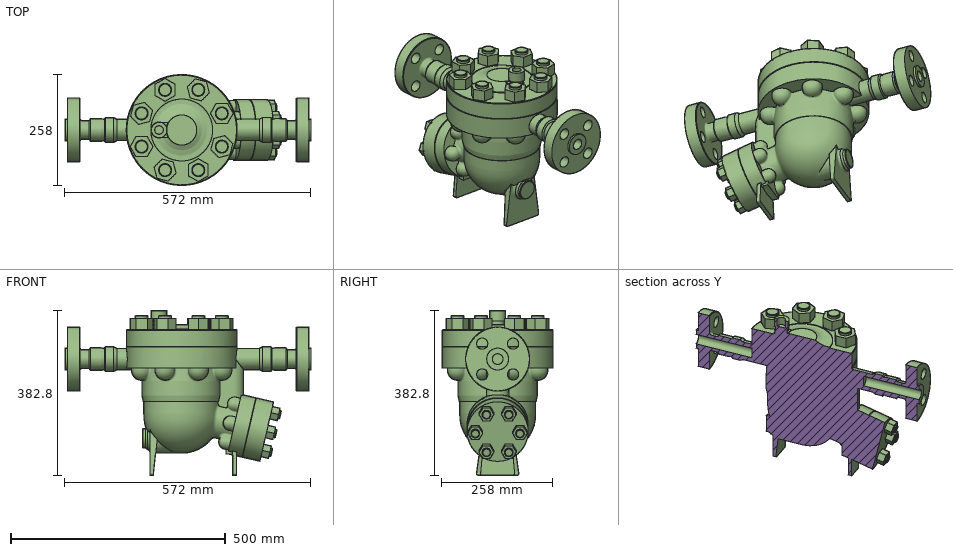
import cadquery as cq
import math


TOTAL_LENGTH = 572.0
TOTAL_HEIGHT = 382.8
INLET_FACE_X = -271.0
OUTLET_FACE_X = INLET_FACE_X + TOTAL_LENGTH
FOOT_BOTTOM_Z = -270.3
VENT_TOP_Z = FOOT_BOTTOM_Z + TOTAL_HEIGHT

PIPE_DIA = 50.0
PIPE_FLANGE_DIA = 149.0
PIPE_FLANGE_THICKNESS = 29.5
RAISED_FACE_DIA = 50.8
RAISED_FACE_HEIGHT = 5.3
NECK_DIA = 44.0
NECK_FILLET = 4.0
SOCKET_DIA = 53.0
COLLAR_DIA = 58.0
GROOVE_DIA = 50.0
BORE_DIA = 25.0
PIPE_BOLT_COUNT = 4
PIPE_BOLT_HOLE_DIA = 26.0
PIPE_BOLT_CIRCLE = 101.6
NECK_END = 55.5
SOCKET_START = 58.5
SOCKET_END = 83.5
GROOVE_START = 91.0
COLLAR_START = 93.5
COLLAR_END = 112.5
PIPE_START = 120.5
EDGE_CHAMFER = 1.5

MAIN_FLANGE_DIA = 258.0
COVER_TOP_Z = 68.4
JOINT_Z = 27.8
MAIN_FLANGE_BOTTOM_Z = -21.3
JOINT_GROOVE = 1.0
PAD_DIA = 144.0
PAD_HEIGHT = 2.0
CROWN_TOP_Z = 80.0
CROWN_DIA = 70.0
CROWN_STEP_DIA = 74.0
CROWN_STEP_DROP = 1.5
SLOPE_FOOT_DIA = 120.0
SLOPE_MID_DIA = 95.0
SLOPE_MID_HEIGHT = 3.0

MAIN_BOLT_COUNT = 8
MAIN_BOLT_RADIUS = 101.0
MAIN_STUD_DIA = 30.0
MAIN_STUD_PROJECTION = 33.0
MAIN_NUT_FLATS = 46.0
MAIN_NUT_HEIGHT = 26.0
MAIN_BOSS_RADIUS = 23.5
MAIN_BOSS_CENTRE_Z = -26.0
MAIN_BOSS_FILLET = 4.0

VENT_X = -52.7
VENT_CAP_DIA = 37.0
VENT_CAP_HEIGHT = 24.5
VENT_NECK_DIA = 30.0
VENT_PAD_DIA = 34.0
VENT_PAD_TOP_Z = 79.0
VENT_HOLE_DIA = 20.0
VENT_HOLE_DEPTH = 20.0

BAND_RADIUS = 92.5
BAND_TOP_Z = -51.0
BODY_THROAT_RADIUS = 90.0
BAND_BOTTOM_Z = -85.0
TAPER_END_RADIUS = 89.5
TAPER_END_Z = -99.0
BOWL_RADIUS = 88.5
DOME_START_Z = -126.0
BODY_BOTTOM_Z = -219.0

CHANNEL_END_X = 144.0
CHANNEL_WIDTH = 52.0
CHANNEL_EDGE_RADIUS = 23.0
CHANNEL_TOP_Z = 15.0
CHANNEL_TOP_RADIUS = 22.0
CHANNEL_START_X = 40.0
CHANNEL_BOTTOM_Z = -115.0

SIDE_TILT = 13.0
SIDE_PIVOT_Z = -123.0
SIDE_FLANGE_DIA = 142.0
SIDE_NECK_DIA = 83.0
SIDE_NECK_FILLET = 8.0
SIDE_NECK_START = 20.0
SIDE_BOSS_ZONE_START = 93.0
SIDE_FLANGE_START = 126.0
SIDE_JOINT = 160.5
SIDE_FLANGE_END = 203.0
SIDE_BOLT_COUNT = 6
SIDE_BOLT_RADIUS = 52.0
SIDE_STUD_DIA = 20.0
SIDE_STUD_PROJECTION = 22.5
SIDE_NUT_FLATS = 30.0
SIDE_NUT_HEIGHT = 18.0
SIDE_BOSS_RADIUS = 17.0
SIDE_BOSS_CENTRE = 116.0
SIDE_BOSS_FILLET = 4.0

DRAIN_Z = -184.0
DRAIN_TUBE_DIA = 70.0
DRAIN_TUBE_START_X = -62.0
DRAIN_ROOT_DIA = 64.0
DRAIN_COLLAR_DIA = 53.0
DRAIN_PLUG_DIA = 45.0
DRAIN_PLUG_END_X = -91.5
DRAIN_CONE_START_X = -84.5
INLET_FOOT_BASE_WIDTH = 100.0
INLET_FOOT_TOP_WIDTH = 70.0
FOOT_TOP_Z = -162.0
FOOT_THICKNESS = 9.0
FOOT_CORNER_RADIUS = 4.0
INLET_FOOT_X = -74.2
INLET_FOOT_TOP_THICKNESS = 20.0
INLET_FOOT_TAPER_START_Z = -263.0
OUTLET_FOOT_BASE_WIDTH = 80.0
OUTLET_FOOT_TOP_WIDTH = 60.0
OUTLET_FOOT_X = 118.7
FOOT_PAD_START_X = 103.0
FOOT_PAD_WIDTH = 60.0
FOOT_PAD_BOTTOM_Z = -221.0
FOOT_PAD_TOP_Z = -184.0


def cylinder_along_x(diameter, x_start, x_end, z=0.0):
    return cq.Workplane("YZ", origin=(x_start, 0, z)).circle(diameter / 2).extrude(x_end - x_start)


def stud_with_nut(stud_dia, projection, flats, nut_height):
    """Stud and hexagon nut standing on the XY plane, nut corners on the X axis."""
    corners_dia = flats / math.cos(math.pi / 6)
    nut = cq.Workplane("XY").polygon(6, corners_dia).extrude(nut_height)
    stud = cq.Workplane("XY").circle(stud_dia / 2).extrude(projection)
    return nut.union(stud.faces(">Z").chamfer(EDGE_CHAMFER))


def boss(radius, length):
    """Round-ended boss: a hemisphere below the XY plane and a cylinder above it."""
    return cq.Workplane("XY").sphere(radius).union(cq.Workplane("XY").circle(radius).extrude(length))


def pipe_end():
    """Flanged pipe on the inlet side, without its holes."""
    flange_back = RAISED_FACE_HEIGHT + PIPE_FLANGE_THICKNESS
    flange_radius = PIPE_FLANGE_DIA / 2
    outline = [
        (0, 0),
        (0, RAISED_FACE_DIA / 2),
        (RAISED_FACE_HEIGHT, RAISED_FACE_DIA / 2),
        (RAISED_FACE_HEIGHT, flange_radius),
        (flange_back - EDGE_CHAMFER, flange_radius),
        (flange_back, flange_radius - EDGE_CHAMFER),
        (flange_back, NECK_DIA / 2),
        (NECK_END, NECK_DIA / 2),
        (SOCKET_START, SOCKET_DIA / 2),
        (SOCKET_END, SOCKET_DIA / 2),
        (GROOVE_START, GROOVE_DIA / 2),
        (COLLAR_START, COLLAR_DIA / 2),
        (COLLAR_END, COLLAR_DIA / 2),
        (PIPE_START, PIPE_DIA / 2),
        (-INLET_FACE_X, PIPE_DIA / 2),
        (-INLET_FACE_X, 0),
    ]
    profile = cq.Workplane("XY").polyline(outline).close()
    pipe = profile.revolve(360, (0, 0, 0), (1, 0, 0))
    neck_corner = cq.selectors.BoxSelector(
        (flange_back - EDGE_CHAMFER / 2, -NECK_DIA, -NECK_DIA),
        (flange_back + EDGE_CHAMFER / 2, NECK_DIA, NECK_DIA),
        boundingbox=True,
    )
    return pipe.edges(neck_corner).fillet(NECK_FILLET).translate((INLET_FACE_X, 0, 0))


def pipe_end_holes():
    """Bore and flange bolt holes on the inlet side; the bore stops at the main flange."""
    bore = cylinder_along_x(BORE_DIA, INLET_FACE_X, -MAIN_FLANGE_DIA / 2)
    bolt_holes = (
        cq.Workplane("YZ", origin=(INLET_FACE_X, 0, 0))
        .polarArray(PIPE_BOLT_CIRCLE / 2, 180 / PIPE_BOLT_COUNT, 360, PIPE_BOLT_COUNT)
        .circle(PIPE_BOLT_HOLE_DIA / 2)
        .extrude(RAISED_FACE_HEIGHT + PIPE_FLANGE_THICKNESS)
    )
    return bore.union(bolt_holes)


def at_outlet(inlet_shape):
    """Copy of an inlet shape, reflected to the outlet end."""
    return inlet_shape.mirror("YZ").translate((OUTLET_FACE_X + INLET_FACE_X, 0, 0))


def body_and_cover():
    """Main flanges, cover crown, bowl and dome as one turned shape."""
    flange_radius = MAIN_FLANGE_DIA / 2
    pad_top_z = COVER_TOP_Z + PAD_HEIGHT
    dome_height = DOME_START_Z - BODY_BOTTOM_Z
    dome_radius = (BOWL_RADIUS**2 + dome_height**2) / (2 * dome_height)
    dome_offset = dome_radius * math.sqrt(0.5)
    dome_middle = (dome_offset, BODY_BOTTOM_Z + dome_radius - dome_offset)
    return (
        cq.Workplane("XZ")
        .moveTo(0, CROWN_TOP_Z)
        .lineTo(CROWN_DIA / 2, CROWN_TOP_Z)
        .lineTo(CROWN_STEP_DIA / 2, CROWN_TOP_Z - CROWN_STEP_DROP)
        .lineTo(SLOPE_MID_DIA / 2, pad_top_z + SLOPE_MID_HEIGHT)
        .lineTo(SLOPE_FOOT_DIA / 2, pad_top_z)
        .lineTo(PAD_DIA / 2, pad_top_z)
        .lineTo(PAD_DIA / 2, COVER_TOP_Z)
        .lineTo(flange_radius - EDGE_CHAMFER, COVER_TOP_Z)
        .lineTo(flange_radius, COVER_TOP_Z - EDGE_CHAMFER)
        .lineTo(flange_radius, JOINT_Z + JOINT_GROOVE)
        .lineTo(flange_radius - JOINT_GROOVE, JOINT_Z + JOINT_GROOVE)
        .lineTo(flange_radius - JOINT_GROOVE, JOINT_Z)
        .lineTo(flange_radius, JOINT_Z)
        .lineTo(flange_radius, MAIN_FLANGE_BOTTOM_Z)
        .lineTo(BODY_THROAT_RADIUS, MAIN_FLANGE_BOTTOM_Z)
        .lineTo(BAND_RADIUS, BAND_TOP_Z)
        .lineTo(BAND_RADIUS, BAND_BOTTOM_Z)
        .lineTo(TAPER_END_RADIUS, TAPER_END_Z)
        .lineTo(BOWL_RADIUS, TAPER_END_Z)
        .lineTo(BOWL_RADIUS, DOME_START_Z)
        .threePointArc(dome_middle, (0, BODY_BOTTOM_Z))
        .close()
        .revolve(360, (0, 0, 0), (0, 1, 0))
    )


def around_main_circle(shape):
    """Copies of a shape, built on the Z axis, at every main bolt position.

    The copies turn with the bolt circle, and the first one, half a pitch from
    the X axis, keeps the shape's own direction.
    """
    pitch = 360 / MAIN_BOLT_COUNT
    first = shape.rotate((0, 0, 0), (0, 0, 1), -pitch / 2).translate((MAIN_BOLT_RADIUS, 0, 0))
    copies = [
        first.rotate((0, 0, 0), (0, 0, 1), (index + 0.5) * pitch).val()
        for index in range(MAIN_BOLT_COUNT)
    ]
    return cq.Workplane(cq.Compound.makeCompound(copies))


def main_bolts():
    """Studs and nuts on the cover."""
    bolt = stud_with_nut(MAIN_STUD_DIA, MAIN_STUD_PROJECTION, MAIN_NUT_FLATS, MAIN_NUT_HEIGHT)
    return around_main_circle(bolt.translate((0, 0, COVER_TOP_Z)))


def with_main_bosses(body):
    """Round bosses under the lower flange, blended into the body."""
    lower_boss = boss(MAIN_BOSS_RADIUS, MAIN_FLANGE_BOTTOM_Z - MAIN_BOSS_CENTRE_Z)
    lower_boss = lower_boss.translate((0, 0, MAIN_BOSS_CENTRE_Z))
    joined = body.union(around_main_circle(lower_boss))
    return joined.edges("%BSPLINE").fillet(MAIN_BOSS_FILLET)


def air_vent():
    """Vent valve cap on a neck, standing on a pad that runs into the cover crown."""
    cap_bottom_z = VENT_TOP_Z - VENT_CAP_HEIGHT
    pad_height = VENT_PAD_TOP_Z - COVER_TOP_Z
    base = cq.Workplane("XY", origin=(VENT_X, 0, COVER_TOP_Z))
    pad = base.circle(VENT_PAD_DIA / 2).extrude(pad_height)
    arm = base.center(-VENT_X / 2, 0).rect(-VENT_X, VENT_PAD_DIA).extrude(pad_height)
    neck = base.circle(VENT_NECK_DIA / 2).extrude(cap_bottom_z - COVER_TOP_Z)
    cap = cq.Workplane("XY", origin=(VENT_X, 0, cap_bottom_z)).circle(VENT_CAP_DIA / 2)
    cap = cap.extrude(VENT_CAP_HEIGHT).faces(">Z").workplane().hole(VENT_HOLE_DIA, VENT_HOLE_DEPTH)
    return pad.union(arm).union(neck).union(cap)


def outlet_channel():
    """Vertical wall with rounded edges, joining the side cover neck to the outlet pipe."""
    length = CHANNEL_END_X - CHANNEL_START_X
    wall = (
        cq.Workplane("XY", origin=(CHANNEL_START_X + length / 2, 0, CHANNEL_BOTTOM_Z))
        .rect(length, CHANNEL_WIDTH)
        .extrude(CHANNEL_TOP_Z - CHANNEL_BOTTOM_Z)
    )
    wall = wall.edges("|Z and >X").fillet(CHANNEL_EDGE_RADIUS)
    outer_top_edges = wall.faces(">Z").edges("not <X")
    return outer_top_edges.fillet(CHANNEL_TOP_RADIUS)


def tilt_side(shape):
    """Move a shape built along +X from the origin onto the tilted side axis."""
    return shape.rotate((0, 0, 0), (0, 1, 0), SIDE_TILT).translate((0, 0, SIDE_PIVOT_Z))


def with_side_neck(body):
    """Tilted neck, blended into the bowl and dome."""
    neck = tilt_side(cylinder_along_x(SIDE_NECK_DIA, SIDE_NECK_START, SIDE_FLANGE_START))
    joined = body.union(neck)
    root = cq.selectors.BoxSelector(
        (0, -BOWL_RADIUS, BODY_BOTTOM_Z),
        (MAIN_FLANGE_DIA / 2, BOWL_RADIUS, BAND_BOTTOM_Z),
    )
    return joined.edges(root).edges("%BSPLINE").fillet(SIDE_NECK_FILLET)


def around_side_circle(shape):
    """Copies of a shape, built on the Z axis, around the side axis with Z turned to +X."""
    turned = shape.rotate((0, 0, 0), (0, 1, 0), 90).translate((0, SIDE_BOLT_RADIUS, 0))
    copies = [
        turned.rotate((0, 0, 0), (1, 0, 0), index * 360 / SIDE_BOLT_COUNT).val()
        for index in range(SIDE_BOLT_COUNT)
    ]
    return cq.Workplane(cq.Compound.makeCompound(copies))


def side_cover():
    """Bolted pair of flanges on the tilted axis, with blended bosses behind and nuts in front."""
    neck_end = cylinder_along_x(SIDE_NECK_DIA, SIDE_BOSS_ZONE_START, SIDE_FLANGE_START)
    flange_pair = cylinder_along_x(SIDE_FLANGE_DIA, SIDE_FLANGE_START, SIDE_FLANGE_END)
    joint_ring = (
        cq.Workplane("YZ", origin=(SIDE_JOINT, 0, 0))
        .circle(SIDE_FLANGE_DIA / 2)
        .circle(SIDE_FLANGE_DIA / 2 - JOINT_GROOVE)
        .extrude(JOINT_GROOVE)
    )
    back_boss = boss(SIDE_BOSS_RADIUS, SIDE_FLANGE_START - SIDE_BOSS_CENTRE)
    back_boss = back_boss.translate((0, 0, SIDE_BOSS_CENTRE))
    cover = neck_end.union(flange_pair).union(around_side_circle(back_boss))
    cover = cover.edges("%BSPLINE").fillet(SIDE_BOSS_FILLET).cut(joint_ring)
    bolt = stud_with_nut(SIDE_STUD_DIA, SIDE_STUD_PROJECTION, SIDE_NUT_FLATS, SIDE_NUT_HEIGHT)
    bolt = bolt.rotate((0, 0, 0), (0, 0, 1), 90).translate((0, 0, SIDE_FLANGE_END))
    return tilt_side(cover.union(around_side_circle(bolt)))


def drain():
    """Horizontal drain tube under the dome, and its round plug widening towards the inlet foot."""
    fillet_radius = (DRAIN_ROOT_DIA - DRAIN_COLLAR_DIA) / 2
    fillet_start_x = INLET_FOOT_X - fillet_radius
    arc_middle = fillet_radius * math.sqrt(0.5)
    tube = cylinder_along_x(DRAIN_TUBE_DIA, DRAIN_TUBE_START_X, 0, DRAIN_Z)
    plug = (
        cq.Workplane("XY")
        .moveTo(DRAIN_PLUG_END_X, 0)
        .lineTo(DRAIN_PLUG_END_X, DRAIN_PLUG_DIA / 2 - EDGE_CHAMFER)
        .lineTo(DRAIN_PLUG_END_X + EDGE_CHAMFER, DRAIN_PLUG_DIA / 2)
        .lineTo(DRAIN_CONE_START_X, DRAIN_PLUG_DIA / 2)
        .lineTo(fillet_start_x, DRAIN_COLLAR_DIA / 2)
        .threePointArc(
            (fillet_start_x + arc_middle, DRAIN_ROOT_DIA / 2 - arc_middle),
            (INLET_FOOT_X, DRAIN_ROOT_DIA / 2),
        )
        .lineTo(0, DRAIN_ROOT_DIA / 2)
        .lineTo(0, 0)
        .close()
        .revolve(360, (0, 0, 0), (1, 0, 0))
        .translate((0, 0, DRAIN_Z))
    )
    return tube.union(plug)


def foot_plate(x_start, thickness, base_width, top_width):
    """Trapezoid plate standing across the X axis, with rounded bottom corners."""
    outline = [
        (-base_width / 2, FOOT_BOTTOM_Z),
        (base_width / 2, FOOT_BOTTOM_Z),
        (top_width / 2, FOOT_TOP_Z),
        (-top_width / 2, FOOT_TOP_Z),
    ]
    plate = cq.Workplane("YZ", origin=(x_start, 0, 0)).polyline(outline).close().extrude(thickness)
    return plate.edges("|X and <Z").fillet(FOOT_CORNER_RADIUS)


def inlet_foot():
    """Foot on the drain side; its inner face leans so that the plate thickens upwards."""
    side_outline = [
        (INLET_FOOT_X, FOOT_BOTTOM_Z),
        (INLET_FOOT_X + FOOT_THICKNESS, FOOT_BOTTOM_Z),
        (INLET_FOOT_X + FOOT_THICKNESS, INLET_FOOT_TAPER_START_Z),
        (INLET_FOOT_X + INLET_FOOT_TOP_THICKNESS, FOOT_TOP_Z),
        (INLET_FOOT_X, FOOT_TOP_Z),
    ]
    side = cq.Workplane("XZ").polyline(side_outline).close().extrude(INLET_FOOT_BASE_WIDTH / 2, both=True)
    plate = foot_plate(
        INLET_FOOT_X, INLET_FOOT_TOP_THICKNESS, INLET_FOOT_BASE_WIDTH, INLET_FOOT_TOP_WIDTH
    )
    return plate.intersect(side)


def outlet_foot():
    """Straight foot under the side cover, with a pad where it joins the flange."""
    pad_length = OUTLET_FOOT_X + FOOT_THICKNESS - FOOT_PAD_START_X
    pad = (
        cq.Workplane("XY", origin=(FOOT_PAD_START_X + pad_length / 2, 0, FOOT_PAD_BOTTOM_Z))
        .rect(pad_length, FOOT_PAD_WIDTH)
        .extrude(FOOT_PAD_TOP_Z - FOOT_PAD_BOTTOM_Z)
    )
    plate = foot_plate(OUTLET_FOOT_X, FOOT_THICKNESS, OUTLET_FOOT_BASE_WIDTH, OUTLET_FOOT_TOP_WIDTH)
    return plate.union(pad)


inlet_pipe = pipe_end()
inlet_holes = pipe_end_holes()
pieces = [
    side_cover(),
    outlet_channel(),
    inlet_pipe,
    at_outlet(inlet_pipe),
    inlet_foot(),
    drain(),
    outlet_foot(),
    air_vent(),
    main_bolts(),
]
result = with_side_neck(with_main_bosses(body_and_cover()))
for piece in pieces:
    result = result.union(piece)
result = result.cut(inlet_holes).cut(at_outlet(inlet_holes))